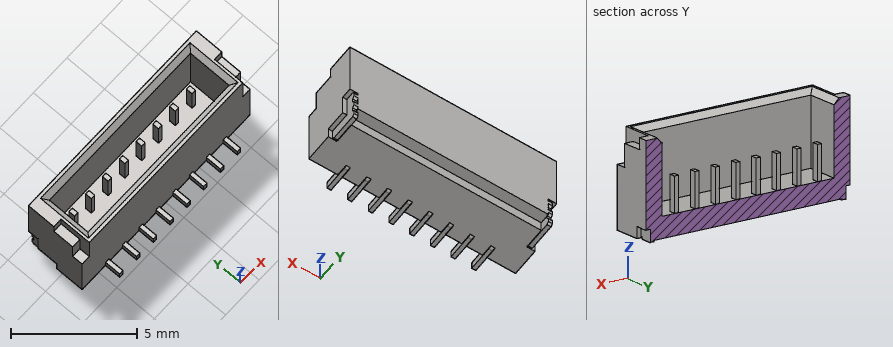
import cadquery as cq

LENGTH = 10.0
DEPTH = 2.85
TOP = 4.3
STANDOFF = 0.05

RIM_END = 0.55
RIM_SIDE = 0.15
LEAD_IN = 0.25
CAVITY_FLOOR = 1.0

RELIEF_SIZE = 1.5
RELIEF_LEG = 0.5
KEY_INSET = 0.43

TAB_INSET = 0.2
TAB_THICKNESS = 0.2
TAB_CHAMFER = 0.1
NOTCH_WIDTH = 0.38
NOTCH_DEPTH = 0.1
NOTCH_PITCH = 0.58
NOTCH_COUNT = 3
LOWEST_NOTCH = 0.49

CONTACT_COUNT = 8
CONTACT_PITCH = 1.0
CONTACT_WIDTH = 0.2
PIN_THICKNESS = 0.3
PIN_REAR_GAP = 0.9
PIN_TOP = 2.55
TAIL_HEIGHT = 0.36
TAIL_REACH = 0.75
TAIL_ROOT = 0.68
TAIL_BEND_RADIUS = 0.25


def box(x_range, y_range, z_range):
    """Axis-aligned block between the given limits."""
    size = [high - low for low, high in (x_range, y_range, z_range)]
    corner = (x_range[0], y_range[0], z_range[0])
    return cq.Workplane("XY").box(*size, centered=False).translate(corner)


def relief(corner_y, corner_z, inward_y, inward_z, x_start, thickness):
    """L-shaped plate with its outer corner at (corner_y, corner_z)."""
    steps = [
        (0, 0),
        (RELIEF_SIZE, 0),
        (RELIEF_SIZE, RELIEF_LEG),
        (RELIEF_LEG, RELIEF_LEG),
        (RELIEF_LEG, RELIEF_SIZE),
        (0, RELIEF_SIZE),
    ]
    points = [(corner_y + inward_y * y, corner_z + inward_z * z) for y, z in steps]
    return cq.Workplane("YZ", origin=(x_start, 0, 0)).polyline(points).close().extrude(thickness)


def both_ends(left_shape):
    """The shape at the left end together with its mirror image at the right end."""
    return left_shape.union(left_shape.mirror("YZ"))


def housing():
    left = -LENGTH / 2
    shell = box((left, -left), (0, DEPTH), (STANDOFF, TOP))

    inner_length = LENGTH - 2 * (RIM_END + LEAD_IN)
    inner_depth = DEPTH - 2 * (RIM_SIDE + LEAD_IN)
    cavity = (
        cq.Workplane("XY", origin=(0, DEPTH / 2, CAVITY_FLOOR))
        .rect(inner_length, inner_depth)
        .extrude(TOP - CAVITY_FLOOR)
    )
    lead_in = (
        cq.Workplane("XY", origin=(0, DEPTH / 2, TOP))
        .rect(inner_length + 2 * LEAD_IN, inner_depth + 2 * LEAD_IN)
        .extrude(-LEAD_IN, taper=45)
    )
    key = relief(0, TOP, 1, -1, left, KEY_INSET)
    tab_seat = relief(DEPTH, STANDOFF, -1, 1, left, TAB_INSET + TAB_THICKNESS)
    step = box((left, -left), (DEPTH - RELIEF_LEG, DEPTH), (STANDOFF, STANDOFF + RELIEF_LEG))
    return shell.cut(cavity).cut(lead_in).cut(both_ends(key)).cut(both_ends(tab_seat)).cut(step)


def tab_notch(x_start, z_centre):
    """Notch with 45 degree flanks, cut into the rear edge of a tab."""
    half_mouth = NOTCH_WIDTH / 2
    half_base = half_mouth - NOTCH_DEPTH
    outline = [
        (0, half_mouth),
        (-NOTCH_DEPTH, half_base),
        (-NOTCH_DEPTH, -half_base),
        (0, -half_mouth),
    ]
    plane = cq.Workplane("YZ", origin=(x_start, DEPTH, z_centre))
    return plane.polyline(outline).close().extrude(TAB_THICKNESS)


def solder_tab():
    """Left tab: fills the relief, reaches down to the feet and is notched at the rear."""
    start = TAB_INSET - LENGTH / 2
    x_range = (start, start + TAB_THICKNESS)
    foot = box(x_range, (DEPTH - RELIEF_SIZE, DEPTH), (0, STANDOFF + RELIEF_LEG))
    foot = foot.edges("|X and <Z").chamfer(TAB_CHAMFER)
    upright = box(
        x_range,
        (DEPTH - RELIEF_LEG, DEPTH),
        (STANDOFF + RELIEF_LEG, STANDOFF + RELIEF_SIZE),
    )
    tab = foot.union(upright)
    for i in range(NOTCH_COUNT):
        tab = tab.cut(tab_notch(start, LOWEST_NOTCH + i * NOTCH_PITCH))
    return tab


def contact(x_centre):
    """Upright pin in the cavity and the flat tail that leaves through the foot of the front wall."""
    x_range = (x_centre - CONTACT_WIDTH / 2, x_centre + CONTACT_WIDTH / 2)
    pin_rear = DEPTH - PIN_REAR_GAP
    pin = box(x_range, (pin_rear - PIN_THICKNESS, pin_rear), (CAVITY_FLOOR, PIN_TOP))
    tail = box(x_range, (-TAIL_REACH, TAIL_ROOT), (0, TAIL_HEIGHT))
    tail = tail.edges("|X and <Z and >Y").fillet(TAIL_BEND_RADIUS)
    return pin.union(tail)


result = housing().union(both_ends(solder_tab()))
for i in range(CONTACT_COUNT):
    result = result.union(contact((i - (CONTACT_COUNT - 1) / 2) * CONTACT_PITCH))